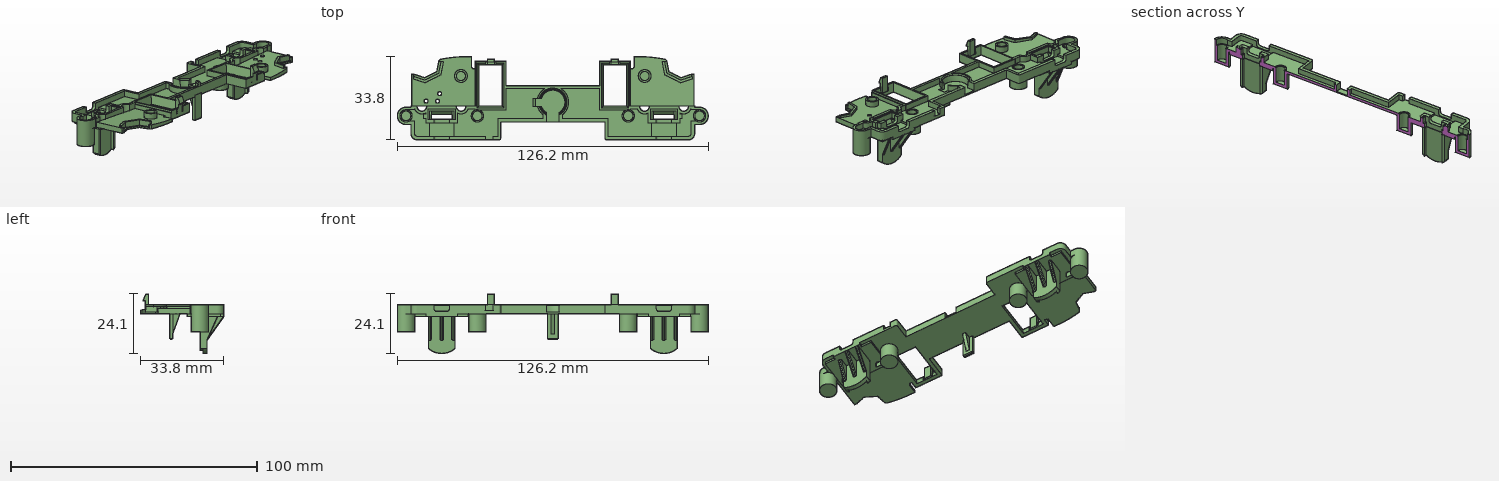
import cadquery as cq
import math

TINY = 0.01

FLOOR_Z = -2.4
TRAY_BOTTOM_Z = -3.8
PAD_BOTTOM_Z = -4.95
BOSS_BOTTOM_Z = -11.1
LEG_BOTTOM_Z = -19.9
HOOK_TOP_Z = 4.25

BOSS_X = -59.53
BOSS_Y = 9.78
BOSS_RADIUS = 3.55
TRAY_END_X = -57.6
TRAY_STEP_X = -21.1
TRAY_BACK_Y = 13.7
BRIDGE_FRONT_Y = 7.2
BRIDGE_BACK_Y = 22.0
TRAY_NECK_Y = 7.6
WALL = 1.5
THIN_WALL = 1.2
OUTER_CORNER_RADIUS = 2.7
STEP_CORNER_RADIUS = 0.8
INNER_CORNER_RADIUS = OUTER_CORNER_RADIUS - WALL

BOSS_BORE_RADIUS = 1.95
BOSS_RECESS_RADIUS = 2.5
BOSS_RECESS_DEPTH = 0.25
BOSS_BASE = 1.5
INNER_BOSS_X = -30.6

FRAME_X0, FRAME_X1 = -31.5, -18.95
FRAME_Y0, FRAME_Y1 = 12.2, 32.0
FRAME_RIM = 0.8
FRAME_FOOT = 1.6
FRAME_STEP = 0.35
FRAME_STEP_Z = -0.83

HOOK_X = -25.1
HOOK_WIDTH = 2.9
HOOK_FRONT_Y = 30.6
HOOK_NOSE_Y = 32.75
HOOK_NOSE_Z = 1.5
HOOK_TIP_Y = 31.7
HOOK_NOSE_EDGE = 0.4
HOOK_GAP = 0.7
HOOK_GAP_DEPTH = 2.4

PLATE_END_X = -57.3
PLATE_END_Z = -1.55
PLATE_FRAME_Z = -2.6
PLATE_BACK_Y = 33.81
PLATE_CORNER = (-45.6, 32.75)
PLATE_ARC_RISE = 0.15
PLATE_CREST_X = -37.2
PLATE_INNER_X = -32.95
PLATE_RELIEF_Y = 28.9
PLATE_RELIEF_CHAMFER = 0.6
SCALLOP_EDGE = [(-57.3, 26.7), (-56.2, 26.7), (-52.0, 25.3), (-47.1, 27.75), (-46.25, 32.1)]
LIP_Z = -3.1
LIP_WIDTH = 0.95
RIDGE_WIDTH = 1.0
RIDGE_TOP_Z = -0.83
RIDGE_END_X = -56.6
RIDGE_END_Y = 31.8
PLATE_BOSS = (-37.25, 25.95)
PLATE_BOSS_RADIUS = 2.6
PLATE_BOSS_BORE_RADIUS = 1.85
PIN_HOLES = [(-45.9, 18.8), (-51.4, 15.8), (-46.75, 15.75)]
PIN_HOLE_DIAMETER = 1.5
PIN_ENTRY_DIAMETER = 1.65
PIN_ENTRY_BOTTOM_Z = -2.6

WELL_XS = (-53.1, -37.2)
WELL_Y = 13.6
WELL_RADIUS = 1.9
WELL_WALL = 1.15

PORT_X = -45.05
PORT_WIDTH = 12.9
PORT_FRONT_Y = 6.8
PORT_BACK_Y = 12.5
PORT_CAVITY_WIDTH = 9.8
PORT_CAVITY_FRONT_Y = 8.35
PORT_CAVITY_BACK_Y = 11.8
PORT_CAVITY_Z = -2.8
PORT_STEP_Z = -0.4
PORT_STEP = 0.6
PORT_SLOT_WIDTH = 8.4
PORT_SLOT_BACK_Y = 10.25
PORT_NOTCH_WIDTH = 6.2
PORT_NOTCH_DEPTH = 2.7
PORT_NOTCH_RADIUS = 1.0
KEY_WIDTH = 1.0
KEY_Y0, KEY_Y1 = 8.7, 10.6
CHANNEL_WIDTH = 10.1
CHANNEL_Z = -3.2
PAD_X0, PAD_X1 = -55.9, -34.2
PAD_BACK_Y = 14.9
PAD_FRONT_WIDTH = 12.6
LEG_WIDTH = 10.9
LEG_BACK_Y = 9.65
LEG_WEB = 1.75
LEG_FLANGE = 1.1
LEG_SIDE_Z = -17.8
RIB_EDGE_WIDTH = 0.6
RIB_DRAFT_WIDTH = 0.5
RIB_DRAFT = 25
RIB_TIP_Z = -14.5
OUTER_RIB_FRONT_Y = 2.55

RING_Y = 15.3
RING_OUTER_RADIUS = 6.4
RING_INNER_RADIUS = 5.3
RING_FLOOR_RADIUS = 4.9
RING_CHAMFER = 0.45
RING_FLOOR_Z = -3.1
SLOT_WIDTH = 5.1
KEYWAY_X = -8.1
KEYWAY_RAMP = 1.1
KEYWAY_Y0, KEYWAY_Y1 = 13.6, 16.9
TAIL_WALL = 1.4
TONGUE_WIDTH = 4.5
TONGUE_FRONT_Y = 20.75
TONGUE_BACK_Y = 22.05
TONGUE_BOTTOM_Z = -14.1
TONGUE_TIP_CHAMFER = 0.4
GUSSET_WIDTH = 1.5
GUSSET_FRONT_Y = 17.8
GUSSET_TIP_Z = -11.9
SMALL_NOTCH_X = -25.75
SMALL_NOTCH_WIDTH = 3.1


def block(x0, x1, y0, y1, z0, z1):
    """Box between two opposite corners."""
    return cq.Workplane("XY").box(x1 - x0, y1 - y0, z1 - z0, centered=False).translate((x0, y0, z0))


def cylinder(x, y, radius, z0, z1):
    """Upright cylinder between two levels."""
    return cq.Workplane("XY", origin=(x, y, z0)).circle(radius).extrude(z1 - z0)


def prism(points, z0, z1):
    """Upright prism on an XY polygon."""
    return cq.Workplane("XY", origin=(0, 0, z0)).polyline(points).close().extrude(z1 - z0)


def rib(points, x, width):
    """Slab of the given width about x, with a YZ polygon as its profile."""
    return cq.Workplane("YZ", origin=(x - width / 2, 0, 0)).polyline(points).close().extrude(width)


def tray_shell():
    """Wide end of the tray with its boss ear, plus half of the bridge."""
    end = block(TRAY_END_X, TRAY_STEP_X, 0, TRAY_BACK_Y, TRAY_BOTTOM_Z, 0)
    end = end.edges("|Z and <Y and <X").fillet(OUTER_CORNER_RADIUS)
    end = end.edges("|Z and <Y and >X").fillet(STEP_CORNER_RADIUS)
    bridge = block(FRAME_X1 - THIN_WALL, 0, BRIDGE_FRONT_Y, BRIDGE_BACK_Y, TRAY_BOTTOM_Z, 0)
    link = block(TRAY_STEP_X - WALL, FRAME_X1, BRIDGE_FRONT_Y, TRAY_BACK_Y, TRAY_BOTTOM_Z, 0)
    ear = cylinder(BOSS_X, BOSS_Y, BOSS_RADIUS, TRAY_BOTTOM_Z, 0)
    neck = block(BOSS_X, TRAY_END_X + WALL, BOSS_Y - BOSS_RADIUS, BOSS_Y + BOSS_RADIUS, TRAY_BOTTOM_Z, 0)
    return end.union(bridge).union(link).union(ear).union(neck)


def tray_pocket():
    """Open space above the tray floor."""
    inner_step_x = TRAY_STEP_X - THIN_WALL
    back_y = TRAY_BACK_Y - THIN_WALL
    bridge_y = BRIDGE_FRONT_Y + WALL
    end = block(TRAY_END_X + WALL, inner_step_x, WALL, back_y, FLOOR_Z, TINY)
    end = end.edges("|Z and <Y and <X").fillet(INNER_CORNER_RADIUS)
    link = block(inner_step_x - WALL, FRAME_X1 + WALL, bridge_y, back_y, FLOOR_Z, TINY)
    bridge = block(FRAME_X1, TINY, bridge_y, BRIDGE_BACK_Y - THIN_WALL, FLOOR_Z, TINY)
    ear = cylinder(BOSS_X, BOSS_Y, BOSS_RECESS_RADIUS, FLOOR_Z, TINY)
    neck = block(BOSS_X, TRAY_END_X + 2 * WALL, TRAY_NECK_Y, BOSS_Y + BOSS_RECESS_RADIUS, FLOOR_Z, TINY)
    return end.union(link).union(bridge).union(ear).union(neck)


def side_plate():
    """Tilted plate behind the tray, with an arched back and a ridged, scalloped edge."""
    corner_x, corner_y = PLATE_CORNER
    mid_x = (corner_x + PLATE_CREST_X) / 2
    mid_y = (corner_y + PLATE_BACK_Y) / 2 + PLATE_ARC_RISE
    outline = cq.Workplane("XY", origin=(0, 0, TRAY_BOTTOM_Z)).moveTo(PLATE_END_X, TRAY_BACK_Y - TINY)
    for point in SCALLOP_EDGE:
        outline = outline.lineTo(*point)
    outline = (
        outline.lineTo(corner_x, corner_y)
        .threePointArc((mid_x, mid_y), (PLATE_CREST_X, PLATE_BACK_Y))
        .lineTo(PLATE_INNER_X, PLATE_BACK_Y)
        .lineTo(PLATE_INNER_X, PLATE_RELIEF_Y + PLATE_RELIEF_CHAMFER)
        .lineTo(PLATE_INNER_X + PLATE_RELIEF_CHAMFER, PLATE_RELIEF_Y)
        .lineTo(FRAME_X0 + FRAME_RIM / 2, PLATE_RELIEF_Y)
        .lineTo(FRAME_X0 + FRAME_RIM / 2, TRAY_BACK_Y - TINY)
        .close()
    )
    blank = outline.extrude(-TRAY_BOTTOM_Z)

    side_profile = [
        (PLATE_END_X, TRAY_BOTTOM_Z),
        (PLATE_END_X, PLATE_END_Z),
        (FRAME_X0, PLATE_FRAME_Z),
        (FRAME_X0 + FRAME_RIM, PLATE_FRAME_Z),
        (FRAME_X0 + FRAME_RIM, TRAY_BOTTOM_Z),
    ]
    tilt = cq.Workplane("XZ").polyline(side_profile).close().extrude(-PLATE_BACK_Y - TINY)
    plate = blank.intersect(tilt)

    band = edge_band(LIP_WIDTH + RIDGE_WIDTH, TRAY_BOTTOM_Z, RIDGE_TOP_Z).intersect(blank)
    ridge_zone = block(RIDGE_END_X, PLATE_INNER_X, TRAY_BACK_Y, RIDGE_END_Y, TRAY_BOTTOM_Z, 0)
    lip_cut = edge_band(LIP_WIDTH, LIP_Z, TINY)
    plate = plate.union(band.intersect(ridge_zone)).cut(lip_cut.intersect(ridge_zone))

    plate = plate.union(cylinder(*PLATE_BOSS, PLATE_BOSS_RADIUS, TRAY_BOTTOM_Z, 0))
    return plate.cut(cylinder(*PLATE_BOSS, PLATE_BOSS_BORE_RADIUS, FLOOR_Z, TINY))


def edge_band(width, z0, z1):
    """Band of even width on the plate side of the scalloped edge."""
    path = SCALLOP_EDGE[1:]
    normals = []
    for (x0, y0), (x1, y1) in zip(path, path[1:]):
        length = math.hypot(x1 - x0, y1 - y0)
        normals.append(((y1 - y0) / length, (x0 - x1) / length))
    before = normals[:1] + normals
    after = normals + normals[-1:]
    inner = []
    for (x, y), (ax, ay), (bx, by) in zip(path, before, after):
        reach = width / (1 + ax * bx + ay * by)
        inner.append((x + reach * (ax + bx), y + reach * (ay + by)))
    return prism(path + inner[::-1], z0, z1)


def frame_window():
    """Frame wall and its tapered opening, returned separately."""
    wall = block(FRAME_X0, FRAME_X1, FRAME_Y0, FRAME_Y1, TRAY_BOTTOM_Z, 0)
    wall = wall.cut(block(FRAME_X0, FRAME_X0 + FRAME_STEP, TRAY_BACK_Y, FRAME_Y1, FRAME_STEP_Z, TINY))
    centre = ((FRAME_X0 + FRAME_X1) / 2, (FRAME_Y0 + FRAME_Y1) / 2)
    width = FRAME_X1 - FRAME_X0
    length = FRAME_Y1 - FRAME_Y0
    opening = (
        cq.Workplane("XY", origin=(*centre, TRAY_BOTTOM_Z))
        .rect(width - 2 * FRAME_FOOT, length - 2 * FRAME_FOOT)
        .workplane(offset=-TRAY_BOTTOM_Z)
        .rect(width - 2 * FRAME_RIM, length - 2 * FRAME_RIM)
        .loft()
    )
    return wall, opening


def snap_hook():
    """Barbed post on the back bar of the frame."""
    profile = [
        (HOOK_FRONT_Y, -HOOK_GAP_DEPTH),
        (HOOK_FRONT_Y, HOOK_TOP_Z),
        (HOOK_TIP_Y, HOOK_TOP_Z),
        (HOOK_NOSE_Y, HOOK_NOSE_Z + HOOK_NOSE_EDGE),
        (HOOK_NOSE_Y, HOOK_NOSE_Z),
        (FRAME_Y1, HOOK_NOSE_Z),
        (FRAME_Y1, -HOOK_GAP_DEPTH),
    ]
    return rib(profile, HOOK_X, HOOK_WIDTH)


def hook_gaps():
    """Relief slots in the frame bar on both sides of the hook."""
    half = HOOK_WIDTH / 2
    front_y = FRAME_Y1 - FRAME_FOOT
    back_y = FRAME_Y1 - FRAME_RIM / 2
    left = block(HOOK_X - half - HOOK_GAP, HOOK_X - half, front_y, back_y, -HOOK_GAP_DEPTH, TINY)
    return left.union(left.translate((HOOK_WIDTH + HOOK_GAP, 0, 0)))


def leg():
    """Channel-shaped leg below the port, with a rounded end and three front ribs."""
    half = LEG_WIDTH / 2
    outline = (
        cq.Workplane("XZ", origin=(PORT_X, PORT_FRONT_Y, 0))
        .moveTo(-half, FLOOR_Z - TINY)
        .lineTo(-half, LEG_SIDE_Z)
        .threePointArc((0, LEG_BOTTOM_Z), (half, LEG_SIDE_Z))
        .lineTo(half, FLOOR_Z - TINY)
        .close()
        .extrude(PORT_FRONT_Y - LEG_BACK_Y)
    )
    inner = half - LEG_FLANGE
    hollow = block(PORT_X - inner, PORT_X + inner, PORT_FRONT_Y + LEG_WEB, LEG_BACK_Y,
                   LEG_BOTTOM_Z, PAD_BOTTOM_Z)
    body = outline.cut(hollow)
    side_x = half - RIB_EDGE_WIDTH
    for x, front_y in ((-side_x, OUTER_RIB_FRONT_Y), (0, 0), (side_x, 0)):
        body = body.union(leg_rib(PORT_X + x, front_y))
    return body


def leg_rib(x, front_y):
    """Triangular rib with a flat edge and drafted sides."""
    top_z = FLOOR_Z
    top_y = front_y + (top_z - PAD_BOTTOM_Z) * (front_y - PORT_FRONT_Y) / (PAD_BOTTOM_Z - RIB_TIP_Z)
    root_y = PORT_FRONT_Y + LEG_WEB
    profile = [(top_y, top_z), (PORT_FRONT_Y, RIB_TIP_Z), (root_y, RIB_TIP_Z), (root_y, top_z)]
    solid = rib(profile, x, RIB_EDGE_WIDTH)
    for side in (-1, 1):
        face = cq.Workplane("YZ", origin=(x + side * RIB_EDGE_WIDTH / 2, 0, 0))
        solid = solid.union(face.polyline(profile).close().extrude(side * RIB_DRAFT_WIDTH, taper=RIB_DRAFT))
    half = LEG_WIDTH / 2
    below_pad = block(PORT_X - half, PORT_X + half, 0, LEG_BACK_Y, LEG_BOTTOM_Z, PAD_BOTTOM_Z)
    return solid.intersect(below_pad)


def pad():
    """Thicker floor around the port."""
    back = block(PAD_X0, PAD_X1, WALL, PAD_BACK_Y, PAD_BOTTOM_Z, TRAY_BOTTOM_Z + TINY)
    half = PAD_FRONT_WIDTH / 2
    return back.union(block(PORT_X - half, PORT_X + half, 0, PORT_FRONT_Y, PAD_BOTTOM_Z, TRAY_BOTTOM_Z + TINY))


def port_walls():
    """Raised box around the port with a small key on its outer side."""
    half = PORT_WIDTH / 2
    box = block(PORT_X - half, PORT_X + half, PORT_FRONT_Y, TRAY_BACK_Y, FLOOR_Z - TINY, 0)
    return box.union(block(PORT_X - half - KEY_WIDTH, PORT_X - half + TINY, KEY_Y0, KEY_Y1, FLOOR_Z - TINY, 0))


def port_openings():
    """Stepped cavity, sloped through slot, floor channel and the notches in front of the port."""
    cavity_profile = [
        (PORT_CAVITY_FRONT_Y, TINY),
        (PORT_CAVITY_FRONT_Y, PORT_CAVITY_Z),
        (PORT_CAVITY_BACK_Y, PORT_CAVITY_Z),
        (PORT_CAVITY_BACK_Y, TINY),
    ]
    slot_profile = [
        (PORT_CAVITY_FRONT_Y, PORT_CAVITY_Z + TINY),
        (PORT_CAVITY_FRONT_Y, PAD_BOTTOM_Z - TINY),
        (PORT_SLOT_BACK_Y, PAD_BOTTOM_Z - TINY),
        (PORT_CAVITY_BACK_Y, PORT_CAVITY_Z + TINY),
    ]
    cuts = rib(cavity_profile, PORT_X, PORT_CAVITY_WIDTH)
    half_step = PORT_CAVITY_WIDTH / 2 + PORT_STEP
    cuts = cuts.union(block(PORT_X - half_step, PORT_X + half_step, PORT_CAVITY_FRONT_Y, PORT_BACK_Y,
                            PORT_STEP_Z, TINY))
    cuts = cuts.union(rib(slot_profile, PORT_X, PORT_SLOT_WIDTH))
    half_channel = CHANNEL_WIDTH / 2
    cuts = cuts.union(block(PORT_X - half_channel, PORT_X + half_channel, WALL, PORT_FRONT_Y, CHANNEL_Z, TINY))
    half_notch = PORT_NOTCH_WIDTH / 2
    notch = block(PORT_X - half_notch, PORT_X + half_notch, -TINY, PORT_CAVITY_FRONT_Y + TINY,
                  -PORT_NOTCH_DEPTH, PORT_NOTCH_DEPTH)
    return cuts.union(notch.edges("|Y and <Z").fillet(PORT_NOTCH_RADIUS))


def half_body():
    """Complete -X half without the features that appear on one side only."""
    body = tray_shell().cut(tray_pocket())
    frame, frame_opening = frame_window()
    body = body.union(side_plate()).union(frame).union(pad()).union(port_walls())

    tray_zone = block(TRAY_END_X, TRAY_STEP_X, 0, TRAY_BACK_Y, PAD_BOTTOM_Z, 0)
    for x in WELL_XS:
        body = body.union(cylinder(x, WELL_Y, WELL_RADIUS + WELL_WALL, FLOOR_Z - TINY, 0).intersect(tray_zone))
    body = body.cut(frame_opening).cut(port_openings())
    for x in WELL_XS:
        body = body.cut(cylinder(x, WELL_Y, WELL_RADIUS, PAD_BOTTOM_Z, 0).intersect(tray_zone))

    for x in (BOSS_X, INNER_BOSS_X):
        body = body.union(cylinder(x, BOSS_Y, BOSS_RADIUS, BOSS_BOTTOM_Z, FLOOR_Z))
        body = body.cut(cylinder(x, BOSS_Y, BOSS_BORE_RADIUS, BOSS_BOTTOM_Z + BOSS_BASE, FLOOR_Z + TINY))
        body = body.cut(cylinder(x, BOSS_Y, BOSS_RECESS_RADIUS, FLOOR_Z - BOSS_RECESS_DEPTH, FLOOR_Z + TINY))

    leg_body = leg().cut(port_openings())
    return body.cut(hook_gaps()).union(snap_hook()).union(leg_body)


def cone(bottom_radius, top_radius, z0, z1):
    """Upright cone frustum on the ring axis."""
    bottom = cq.Workplane("XY", origin=(0, RING_Y, z0)).circle(bottom_radius)
    return bottom.workplane(offset=z1 - z0).circle(top_radius).loft()


def bridge_ring(body):
    """Round socket in the bridge with a front slot and a side keyway."""
    front_y = BRIDGE_FRONT_Y
    body = body.union(cylinder(0, RING_Y, RING_OUTER_RADIUS, FLOOR_Z - TINY, 0))
    half = SLOT_WIDTH / 2
    body = body.union(block(-half - TAIL_WALL, half + TAIL_WALL, front_y, RING_Y, FLOOR_Z - TINY, 0))
    socket = cone(RING_FLOOR_RADIUS, RING_INNER_RADIUS, RING_FLOOR_Z, 0)
    mouth = cone(RING_INNER_RADIUS, RING_INNER_RADIUS + RING_CHAMFER, -RING_CHAMFER, 0)
    slot = block(-half, half, front_y - TINY, RING_Y, RING_FLOOR_Z, TINY)
    ramp = [
        (KEYWAY_X, FLOOR_Z),
        (KEYWAY_X + KEYWAY_RAMP, RING_FLOOR_Z),
        (0, RING_FLOOR_Z),
        (0, TINY),
        (KEYWAY_X, TINY),
    ]
    keyway = cq.Workplane("XZ", origin=(0, KEYWAY_Y1, 0)).polyline(ramp).close().extrude(KEYWAY_Y1 - KEYWAY_Y0)
    return body.cut(socket).cut(mouth).cut(slot).cut(keyway)


def tongue():
    """Hanging tongue at the back of the bridge, braced by a gusset."""
    half = TONGUE_WIDTH / 2
    slab = block(-half, half, TONGUE_FRONT_Y, TONGUE_BACK_Y, TONGUE_BOTTOM_Z, RING_FLOOR_Z)
    slab = slab.faces("<Z").chamfer(TONGUE_TIP_CHAMFER)
    gusset = [
        (GUSSET_FRONT_Y, TRAY_BOTTOM_Z + TINY),
        (TONGUE_FRONT_Y, GUSSET_TIP_Z),
        (TONGUE_FRONT_Y + TINY, TRAY_BOTTOM_Z + TINY),
    ]
    return slab.union(rib(gusset, 0, GUSSET_WIDTH))


def small_notch():
    """Notch in the front wall of the -X end."""
    half = SMALL_NOTCH_WIDTH / 2
    return block(SMALL_NOTCH_X - half, SMALL_NOTCH_X + half, -TINY, WALL + TINY, FLOOR_Z, TINY)


def pin_hole(x, y):
    """Stepped through hole in the plate of the -X end."""
    hole = cylinder(x, y, PIN_HOLE_DIAMETER / 2, PAD_BOTTOM_Z - TINY, 0)
    return hole.union(cylinder(x, y, PIN_ENTRY_DIAMETER / 2, PIN_ENTRY_BOTTOM_Z, 0))


half_part = half_body()
result = half_part.union(half_part.mirror("YZ"))
result = bridge_ring(result).union(tongue()).cut(small_notch())
for hole_x, hole_y in PIN_HOLES:
    result = result.cut(pin_hole(hole_x, hole_y))